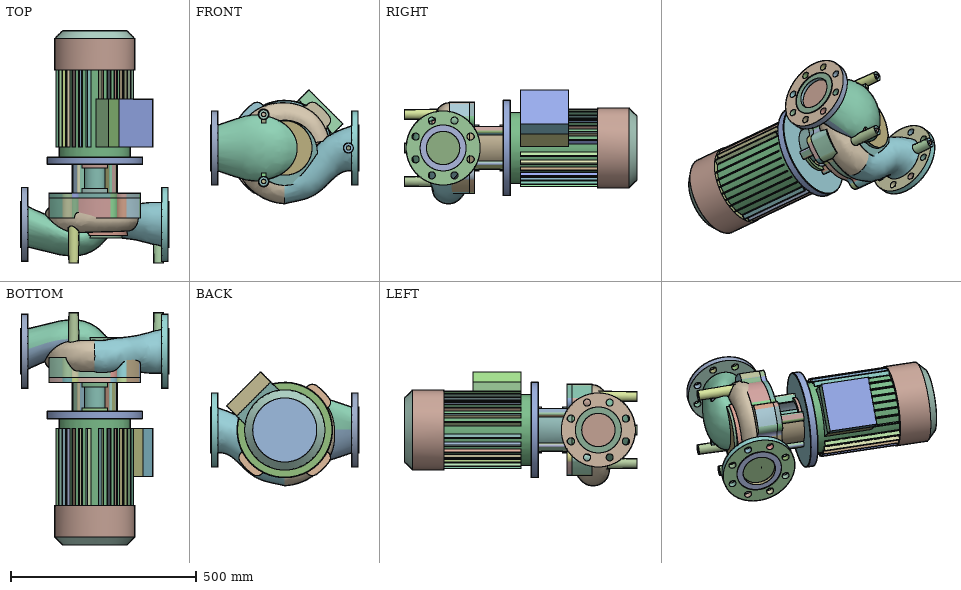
import cadquery as cq
import math


pump_length = 628.03

face_to_face = 400.0
flange_radius = 100.0
flange_thickness = 17.5
raised_face_radius = 62.0
raised_face_height = 2.0
flange_back_x = face_to_face / 2 - raised_face_height - flange_thickness
pipe_bore_radius = 45.0
pipe_bore_depth = 10.0
flange_hole_radius = 9.5
flange_hole_circle = 80.0
flange_hole_count = 8

casing_radius = 122.0
casing_bottom = 17.0
casing_top = 71.0
lobe_reach = 147.5
lobe_half_width = 40.0
lobe_corner_radius = 19.0
lobe_root_radius = 16.0
volute_end_y = 14.0
volute_start_angle = 10
volute_end_angle = 270
volute_step_angle = 26
volute_start_radius = 35.0
volute_end_radius = 44.0
volute_outer_end = 151.0
growth_angle = 90
flange_overlap = 14.5
suction_end_y = -20.0
suction_plate_radius = 88.0
suction_plate_shift = 13.0
suction_plate_y = -29.5
suction_cover_radius = 73.5
suction_cover_y = -37.0

leg_end_y = -104.5
leg_top_y = 10.0
leg_tip_radius = 13.0
leg_draft = 1.0
leg_hole_radius = 6.0
leg_hole_depth = 20.0
leg_x = -57.0
leg_z = 90.4
discharge_leg_x = 172.0
web_width = 12.0
web_bottom_y = -69.0
web_inner_z = 67.0

cover_top = 85.0
lantern_radius = 62.0
lantern_bore_radius = 52.0
motor_flange_radius = 129.0
motor_flange_bottom = 161.5
motor_flange_top = 182.5
motor_flange_chamfer = 1.5
window_half_width = 38.0
window_bottom = 96.5
window_top = 153.0
bar_reach = 73.0
bar_half_width = 12.0
bar_corner_radius = 5.0
shaft_radius = 30.0

motor_radius = 96.0
fin_tip_radius = 106.5
fin_bottom = 208.5
fin_top = 417.0
fin_thickness = 3.0
fin_pitch = 19.5
fins_per_side = 3
fan_cover_radius = 108.4
fan_cover_cone = 501.5
fan_cover_top = leg_end_y + pump_length
fan_cover_end_radius = 86.5

box_half_width = 65.0
box_length = 130.0
box_outer = 157.0
box_split = 118.3

DIAGONALS = (45, 135, 225, 315)


def cylinder(y_start, y_end, radius, x=0.0, z=0.0):
    plane = cq.Workplane("XZ", origin=(x, y_start, z))
    return plane.circle(radius).extrude(y_start - y_end)


def block(x_range, y_range, z_range):
    sizes = [end - start for start, end in (x_range, y_range, z_range)]
    corner = (x_range[0], y_range[0], z_range[0])
    return cq.Workplane("XY").box(*sizes, centered=False).translate(corner)


def turned(shape, angle):
    """Turn a shape about the pump axis, from +X towards +Z."""
    return shape.rotate((0, 0, 0), (0, 1, 0), -angle)


def section(center, direction, radius_axis, radius, other_radius):
    """Elliptical pipe section square to direction, with its first radius along radius_axis."""
    return cq.Wire.makeEllipse(
        radius, other_radius, cq.Vector(*center), cq.Vector(*direction), cq.Vector(*radius_axis)
    )


def pipe(sections):
    return cq.Workplane(cq.Solid.makeLoft(sections))


def lobed_plate(y_start, y_end):
    """Round plate with a bolting lobe on each diagonal."""
    lobe_limit = cylinder(y_start, y_end, lobe_reach)
    plate = turned(cylinder(y_start, y_end, casing_radius), DIAGONALS[0])
    for angle in DIAGONALS:
        lobe = block((0, lobe_reach), (y_start, y_end), (-lobe_half_width, lobe_half_width))
        lobe = lobe.intersect(lobe_limit).edges("|Y and (not <X)").edges(">Z or <Z")
        plate = plate.union(turned(lobe.fillet(lobe_corner_radius), angle))

    def is_root(edge):
        return math.hypot(edge.Center().x, edge.Center().z) < (casing_radius + lobe_reach) / 2

    return plate.edges("|Y").filter(is_root).fillet(lobe_root_radius)


def volute():
    """Spiral channel that widens from the tongue round to the discharge pipe."""
    sections = []
    span = volute_end_angle - volute_start_angle
    for angle in range(volute_start_angle, volute_end_angle + 1, volute_step_angle):
        share = (angle - volute_start_angle) / span
        radius = volute_start_radius + share * (volute_end_radius - volute_start_radius)
        growth = max(0, (angle - growth_angle) / (volute_end_angle - growth_angle))
        outer = casing_radius + growth * (volute_outer_end - casing_radius)
        cos, sin = math.cos(math.radians(angle)), math.sin(math.radians(angle))
        center_y = casing_bottom + growth * (volute_end_y - casing_bottom)
        center = ((outer - radius) * cos, center_y, (outer - radius) * sin)
        sections.append(section(center, (-sin, 0, cos), (cos, 0, sin), radius, radius))
    return pipe(sections)


def discharge_pipe():
    """S-bend from the end of the volute up to the discharge flange: x, y, z, heading, radius."""
    stations = [
        (0, volute_end_y, volute_end_radius - volute_outer_end, 0, volute_end_radius),
        (50, 11, -93, 34, 44.5),
        (90, 6, -60, 44, 45),
        (125, 6, -26, 40, 51),
        (158, 3, -10, 24, 57),
        (flange_back_x, 0, 0, 0, 60),
    ]
    sections = []
    for x, y, z, heading, radius in stations:
        cos, sin = math.cos(math.radians(heading)), math.sin(math.radians(heading))
        sections.append(section((x, y, z), (cos, 0, sin), (sin, 0, -cos), radius, radius))
    return pipe(sections)


def suction_pipe():
    """Elbow from the suction flange into the suction cover: x, y, heading, in-plane and Z radius."""
    stations = [
        (-flange_back_x - flange_overlap, 0, 0, 60, 58),
        (-145, -17, 15, 58, 74),
        (-94, -30, 33, 66, 88),
        (-32, suction_end_y, 90, 78, 72),
    ]
    sections = []
    for x, y, heading, in_plane_radius, z_radius in stations:
        direction = (math.cos(math.radians(heading)), math.sin(math.radians(heading)), 0)
        sections.append(section((x, y, 0), direction, (0, 0, -1), z_radius, in_plane_radius))
    return pipe(sections)


def pipe_flange():
    """Drilled flange with a raised face, facing -X."""
    face_x = -face_to_face / 2
    back = cq.Workplane("YZ", origin=(face_x + raised_face_height, 0, 0))
    flange = back.circle(flange_radius).extrude(flange_thickness)
    flange = flange.union(back.circle(raised_face_radius).extrude(-raised_face_height))
    holes = back.polarArray(
        flange_hole_circle, 180 / flange_hole_count, 360, flange_hole_count
    ).circle(flange_hole_radius)
    return flange.cut(holes.extrude(flange_thickness))


def pipe_bore():
    """Blind bore in the end facing -X."""
    face = cq.Workplane("YZ", origin=(-face_to_face / 2, 0, 0))
    return face.circle(pipe_bore_radius).extrude(pipe_bore_depth)


def leg_body(x, z):
    """Tapered leg, thicker towards the casing."""
    plane = cq.Workplane("XZ", origin=(x, leg_end_y, z))
    return plane.circle(leg_tip_radius).extrude(leg_end_y - leg_top_y, taper=-leg_draft)


def leg(x, z):
    hole = cylinder(leg_end_y, leg_end_y + leg_hole_depth, leg_hole_radius, x, z)
    return leg_body(x, z).cut(hole)


leg_places = [(leg_x, leg_z), (leg_x, -leg_z), (discharge_leg_x, 0.0)]
other_end = ((0, 0, 0), (0, 1, 0), 180)

casing = lobed_plate(casing_bottom, casing_top)
suction_plate = cylinder(suction_plate_y, casing_bottom, suction_plate_radius, z=-suction_plate_shift)
casing = casing.union(suction_plate)
casing = casing.union(cylinder(suction_cover_y, casing_bottom, suction_cover_radius))
flanges = (pipe_flange(), pipe_flange().rotate(*other_end))
for piece in (volute(), discharge_pipe(), suction_pipe(), *flanges):
    casing = casing.union(piece)
for side in (-1, 1):
    web_z = sorted((side * web_inner_z, side * leg_z))
    web_x = (leg_x - web_width / 2, leg_x + web_width / 2)
    casing = casing.union(block(web_x, (web_bottom_y, leg_top_y), web_z))
casing = casing.cut(pipe_bore()).cut(pipe_bore().rotate(*other_end))
for place in leg_places:
    casing = casing.cut(leg_body(*place))

legs = [leg(*place) for place in leg_places]

lantern = lobed_plate(casing_top, cover_top)
lantern = lantern.union(cylinder(cover_top, motor_flange_bottom, lantern_radius))
bore = cylinder(cover_top, motor_flange_top, lantern_bore_radius)
window = block(
    (-window_half_width, window_half_width),
    (window_bottom, window_top),
    (-lantern_radius, lantern_radius),
)
lantern = lantern.cut(window)
for angle in DIAGONALS:
    bar = block(
        (lantern_bore_radius, bar_reach),
        (cover_top, motor_flange_bottom),
        (-bar_half_width, bar_half_width),
    )
    bar = bar.edges("|Y and >X").fillet(bar_corner_radius)
    lantern = lantern.union(turned(bar, angle))
motor_flange = cylinder(motor_flange_bottom, motor_flange_top, motor_flange_radius)
lantern = lantern.union(motor_flange.edges().chamfer(motor_flange_chamfer)).cut(bore)

shaft = cylinder(cover_top, motor_flange_top, shaft_radius)

box_y = (fin_bottom, fin_bottom + box_length)
box_z = (-box_half_width, box_half_width)
terminal_base = turned(block((0, box_split), box_y, box_z), DIAGONALS[0])
terminal_base = terminal_base.cut(cylinder(*box_y, motor_radius))
terminal_lid = turned(block((box_split, box_outer), box_y, box_z), DIAGONALS[0])

motor = cylinder(motor_flange_top, fin_top, motor_radius)
fin_limit = cylinder(fin_bottom, fin_top, fin_tip_radius)
for angle in DIAGONALS:
    for place in range(-fins_per_side, fins_per_side + 1):
        middle = place * fin_pitch
        fin = block(
            (motor_radius / 2, fin_tip_radius),
            (fin_bottom, fin_top),
            (middle - fin_thickness / 2, middle + fin_thickness / 2),
        )
        motor = motor.union(turned(fin, angle).intersect(fin_limit))
motor = motor.cut(terminal_base)

fan_cover = cylinder(fin_top, fan_cover_top, fan_cover_radius)
cone_length = fan_cover_top - fan_cover_cone
cone_depth = fan_cover_radius - fan_cover_end_radius
fan_cover = fan_cover.faces(">Y").chamfer(cone_length, cone_depth)

bodies = [casing, *legs, lantern, shaft, motor, terminal_base, terminal_lid, fan_cover]
result = cq.Compound.makeCompound([body.val() for body in bodies])